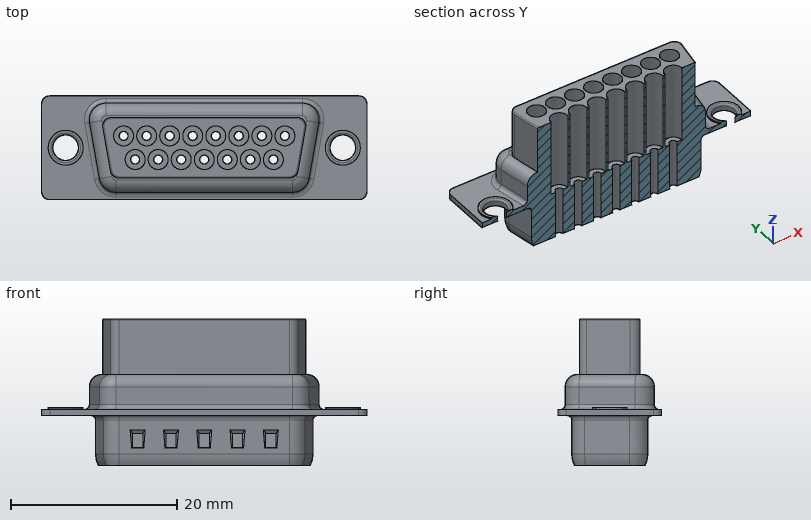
import cadquery as cq
import math

flange_thickness = 0.76
hood_top = 4.98
insulator_top = 11.65
plug_bottom = -6.0

flange_length = 39.14
flange_width = 12.5
flange_corner_radius = 1.0

d_side_angle = 10.0
hood_width, hood_depth, hood_corner = 26.52, 10.72, 2.0
plug_width, plug_depth, plug_corner = 25.28, 9.16, 1.9
insulator_width, insulator_depth, insulator_corner = 23.54, 7.28, 1.05

hood_top_radius = 1.5
hood_flare_radius = 0.57
plug_flare_radius = 0.5
insulator_edge_radius = 0.15
plug_tip_height = 1.42
plug_tip_inset = 0.35

mounting_spacing = 33.32
mounting_hole_diameter = 3.05
rim_diameter = 4.2
rim_height = 0.2
rim_mouth_radius = 0.27

contact_pitch = 2.77
contact_row_spacing = 2.84
upper_row_count = 8
lower_row_count = 7
cavity_diameter = 2.4
contact_hole_diameter = 1.05
cavity_floor = flange_thickness

dimple_count = 5
dimple_pitch = 4.0
dimple_top = -1.73
dimple_height = 2.14
dimple_top_width = 1.8
dimple_bottom_width = 1.45
dimple_floor_width = 1.24
dimple_top_slope_height = 0.39
dimple_depth = 0.25
dimple_shallow_depth = 0.03


def d_prism(width, depth, corner_radius, z_bottom, z_top):
    """Prism with a rounded D outline, wider on the +Y side."""
    lean = depth / 2 * math.tan(math.radians(d_side_angle))
    wide_half = width / 2 + lean
    narrow_half = width / 2 - lean
    corners = [
        (-narrow_half, -depth / 2),
        (narrow_half, -depth / 2),
        (wide_half, depth / 2),
        (-wide_half, depth / 2),
    ]
    base = cq.Workplane("XY").workplane(offset=z_bottom)
    prism = base.polyline(corners).close().extrude(z_top - z_bottom)
    return prism.edges("|Z").fillet(corner_radius)


def make_flange():
    plate = cq.Workplane("XY").box(flange_length, flange_width, flange_thickness, centered=(True, True, False))
    return plate.edges("|Z").fillet(flange_corner_radius)


def add_flare(body, depth, z, flare_radius):
    """Concave rounding where a shell of the given depth meets the flange at height z."""
    tolerance = 0.01
    reach = depth / 2 + tolerance
    junction = cq.selectors.BoxSelector(
        (-flange_length / 2 + flange_corner_radius, -reach, z - tolerance),
        (flange_length / 2 - flange_corner_radius, reach, z + tolerance),
    )
    return body.edges(junction).fillet(flare_radius)


def make_hood():
    """Shell above the flange with a generously rounded top."""
    hood = d_prism(hood_width, hood_depth, hood_corner, 0, hood_top)
    return hood.faces(">Z").edges().fillet(hood_top_radius)


def make_plug():
    """Shell below the flange, its side walls curving inwards towards the tip."""
    plug = d_prism(plug_width, plug_depth, plug_corner, plug_bottom, flange_thickness)
    wall = -plug_depth / 2
    curve_start = plug_bottom + plug_tip_height
    curve_radius = (plug_tip_height**2 + plug_tip_inset**2) / (2 * plug_tip_inset)
    half_angle = math.asin(plug_tip_height / curve_radius) / 2
    curve_middle = (
        wall + curve_radius * (1 - math.cos(half_angle)),
        curve_start - curve_radius * math.sin(half_angle),
    )
    waste_section = (
        cq.Workplane("YZ")
        .moveTo(wall, curve_start)
        .threePointArc(curve_middle, (wall + plug_tip_inset, plug_bottom))
        .lineTo(wall, plug_bottom)
        .close()
    )
    outline = plug.faces("<Z").wires()
    return plug.cut(waste_section.sweep(outline))


def make_insulator():
    """Block holding the contacts, standing out of the hood."""
    block = d_prism(insulator_width, insulator_depth, insulator_corner, 0, insulator_top)
    return block.faces(">Z").edges().fillet(insulator_edge_radius)


def add_mounting_holes(body):
    positions = [(-mounting_spacing / 2, 0), (mounting_spacing / 2, 0)]
    rim_top = flange_thickness + rim_height
    rims = cq.Workplane("XY").pushPoints(positions).circle(rim_diameter / 2).extrude(rim_top)
    holes = cq.Workplane("XY").pushPoints(positions).circle(mounting_hole_diameter / 2).extrude(rim_top)
    mouth_radius = mounting_hole_diameter / 2 + rim_mouth_radius
    mouth_start = rim_top - rim_mouth_radius
    mouth_section = (
        cq.Workplane("XZ")
        .moveTo(0, mouth_start)
        .lineTo(mounting_hole_diameter / 2, mouth_start)
        .radiusArc((mouth_radius, rim_top), rim_mouth_radius)
        .lineTo(0, rim_top)
        .close()
    )
    mouth = mouth_section.revolve(360, (0, 0, 0), (0, 1, 0))
    body = body.union(rims).cut(holes)
    for x, y in positions:
        body = body.cut(mouth.translate((x, y, 0)))
    return body


def row_positions(count, y):
    first_x = -(count - 1) / 2 * contact_pitch
    return [(first_x + index * contact_pitch, y) for index in range(count)]


def cut_contact_cavities(body):
    """Wide wire cavities from the top, each with a narrow hole running through the part."""
    positions = row_positions(upper_row_count, contact_row_spacing / 2)
    positions += row_positions(lower_row_count, -contact_row_spacing / 2)
    top = cq.Workplane("XY").workplane(offset=insulator_top).pushPoints(positions)
    cavities = top.circle(cavity_diameter / 2).extrude(cavity_floor - insulator_top)
    holes = top.circle(contact_hole_diameter / 2).extrude(plug_bottom - insulator_top)
    return body.cut(cavities).cut(holes)


def trapezoid_wire(top_width, bottom_width, top_z, bottom_z, top_y, bottom_y):
    """Four-sided outline, symmetric about X = 0, that may tilt in Y."""
    corners = [
        cq.Vector(-top_width / 2, top_y, top_z),
        cq.Vector(top_width / 2, top_y, top_z),
        cq.Vector(bottom_width / 2, bottom_y, bottom_z),
        cq.Vector(-bottom_width / 2, bottom_y, bottom_z),
    ]
    return cq.Wire.makePolygon(corners, close=True)


def cut_dimples(body):
    """Dimples that are deepest near the flange and run out towards the tip."""
    wall = -plug_depth / 2
    dimple_bottom = dimple_top - dimple_height
    mouth = trapezoid_wire(dimple_top_width, dimple_bottom_width, dimple_top, dimple_bottom, wall, wall)
    floor = trapezoid_wire(
        dimple_floor_width,
        dimple_floor_width,
        dimple_top - dimple_top_slope_height,
        dimple_bottom + dimple_shallow_depth,
        wall + dimple_depth,
        wall + dimple_shallow_depth,
    )
    dimple = cq.Solid.makeLoft([mouth, floor], True)
    for index in range(dimple_count):
        x = (index - (dimple_count - 1) / 2) * dimple_pitch
        body = body.cut(cq.Workplane(dimple.translate(cq.Vector(x, 0, 0))))
    return body


shells = make_flange().union(make_hood()).union(make_plug())
shells = add_flare(shells, hood_depth, flange_thickness, hood_flare_radius)
shells = add_flare(shells, plug_depth, 0, plug_flare_radius)
connector = shells.union(make_insulator())
connector = add_mounting_holes(connector)
connector = cut_contact_cavities(connector)
result = cut_dimples(connector)